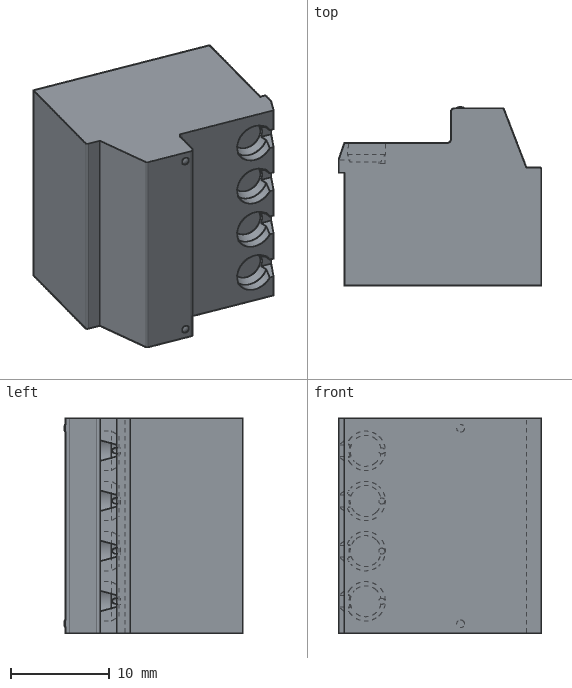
import cadquery as cq
import math

width = 20.6
depth = 18.02
height = 21.85

lip = 0.6
lip_bottom = 11.45
chamfer_bottom = 12.8
ledge = 14.5
ridge_left = 11.4
ridge_right = 16.75
slope_foot = 19.07
shoulder = 12.01
ridge_fillet = 0.37
small_fillet = 0.2

entry_count = 4
entry_pitch = 5.09
entry_x = 2.73
entry_radius = 4.0 / 2
entry_straight_depth = 1.14
entry_depth = 1.9
seat_radius = 1.57
pin_offset = 1.64
pin_radius = 0.3
pin_depth = 2.07
gap_top_width = 2.1
gap_bottom_width = 1.18

bump_x = 12.36
bump_end_distance = 1.0
bump_radius = 0.4
bump_height = 0.13


def make_body():
    """Stepped outline extruded along Z, with its long edges rounded."""
    outline = [
        (lip, 0),
        (width, 0),
        (width, shoulder),
        (slope_foot, shoulder),
        (ridge_right, depth),
        (ridge_left, depth),
        (ridge_left, ledge),
        (lip, ledge),
        (0, chamfer_bottom),
        (0, lip_bottom),
        (lip, lip_bottom),
    ]
    body = cq.Workplane("XY").polyline(outline).close().extrude(height)

    def round_edge(solid, x, y, radius):
        edge = cq.selectors.NearestToPointSelector((x, y, height / 2))
        return solid.edges("|Z").edges(edge).fillet(radius)

    body = round_edge(body, ridge_left, depth, ridge_fillet)
    body = round_edge(body, ridge_left, ledge, ridge_fillet)
    body = round_edge(body, ridge_right, depth, small_fillet)
    return round_edge(body, width, shoulder, small_fillet)


def make_entry(z):
    """Bore with a tapered seat, a small offset bore, and the gap that opens it to the lip."""
    seat_top = ledge - entry_straight_depth
    entry_floor = ledge - entry_depth
    half_section = [
        (0, ledge),
        (entry_radius, ledge),
        (entry_radius, seat_top),
        (seat_radius, entry_floor),
        (0, entry_floor),
    ]
    bore = cq.Workplane("XY").polyline(half_section).close().revolve(360, (0, 0), (0, 1))
    pin_bore = (
        cq.Workplane("XZ", origin=(pin_offset, seat_top, 0))
        .circle(pin_radius)
        .extrude(pin_depth - entry_straight_depth)
    )
    gap_section = [
        (ledge, gap_top_width / 2),
        (chamfer_bottom, gap_bottom_width / 2),
        (chamfer_bottom, -gap_bottom_width / 2),
        (ledge, -gap_top_width / 2),
    ]
    gap = cq.Workplane("YZ", origin=(-entry_x, 0, 0)).polyline(gap_section).close().extrude(entry_x)
    return bore.union(pin_bore).union(gap).translate((entry_x, 0, z))


def make_bump(z):
    """Shallow spherical cap standing on the ridge."""
    sphere_radius = (bump_radius**2 + bump_height**2) / (2 * bump_height)
    sphere_center = bump_height - sphere_radius
    cap_angle = math.degrees(math.asin(-sphere_center / sphere_radius))
    cap = cq.Solid.makeSphere(
        sphere_radius, cq.Vector(0, sphere_center, 0), cq.Vector(0, 1, 0), cap_angle, 90, 360
    )
    return cq.Workplane(cap).translate((bump_x, depth, z))


result = make_body()
for index in range(entry_count):
    entry_z = height / 2 + (index - (entry_count - 1) / 2) * entry_pitch
    result = result.cut(make_entry(entry_z))
for bump_z in (bump_end_distance, height - bump_end_distance):
    result = result.union(make_bump(bump_z))